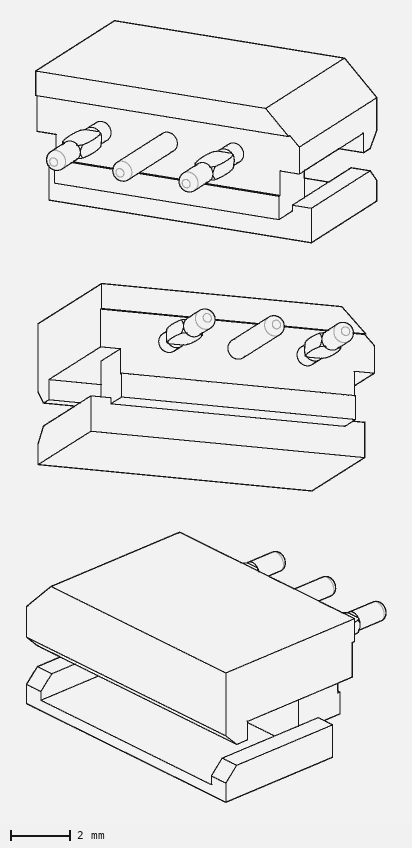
import cadquery as cq
import math

width = 9.9
height = 4.9
pin_face_y = -5.8
lip_projection = 0.1
lip_face_y = pin_face_y - lip_projection

roof_z = 2.72
hook_depth = 0.7
hook_length = 1.0
hook_z = roof_z - hook_depth
lead_in = 0.5
upper_lip_z = 4.03
key_chamfer = 1.22

jaw_thickness = 1.23
jaw_back_y = -4.9
floor_thickness = 0.4

web_inset = 0.72
web_width = width - 2 * web_inset
web_front_y = -4.0
lower_lip_bottom_z = 1.02
lower_lip_top_z = 1.85

pin_pitch = 2.5
pin_z = 3.1
pin_length = 3.6
pin_radius = 0.35
tip_round = 0.2

press_start = 0.7
press_length = 1.6
press_thickness = 0.47
press_half_width = 0.45
flare_radius = 0.45
flare_length = 0.13


def side_profile(points, profile_width):
    """Extrude a closed (Y, Z) outline along X, centred on X = 0."""
    return cq.Workplane("YZ").polyline(points).close().extrude(profile_width / 2, both=True)


def make_housing():
    upper_jaw = side_profile(
        [
            (0, height),
            (lip_face_y, height),
            (lip_face_y, upper_lip_z),
            (pin_face_y, upper_lip_z),
            (pin_face_y, roof_z),
            (-hook_length, roof_z),
            (-hook_length, hook_z),
            (-lead_in, hook_z),
            (0, hook_z + lead_in),
        ],
        width,
    )
    upper_jaw = upper_jaw.edges(">X and >Z").chamfer(key_chamfer)

    lower_jaw = side_profile(
        [
            (0, 0),
            (jaw_back_y, 0),
            (jaw_back_y, jaw_thickness),
            (-lead_in, jaw_thickness),
            (0, jaw_thickness - lead_in),
        ],
        width,
    )

    channel = side_profile(
        [
            (0, floor_thickness),
            (web_front_y, floor_thickness),
            (web_front_y, jaw_thickness),
            (0, jaw_thickness),
        ],
        web_width,
    )
    lower_jaw = lower_jaw.cut(channel)

    web = side_profile(
        [
            (web_front_y, roof_z),
            (pin_face_y, roof_z),
            (pin_face_y, lower_lip_top_z),
            (lip_face_y, lower_lip_top_z),
            (lip_face_y, lower_lip_bottom_z),
            (web_front_y, lower_lip_bottom_z),
        ],
        web_width,
    )
    return upper_jaw.union(web).union(lower_jaw)


def make_round_pin():
    """Plain pin on the Z axis, rising from Z = 0 to its rounded tip."""
    return cq.Workplane("XY").circle(pin_radius).extrude(pin_length).faces(">Z").edges().fillet(tip_round)


def make_press_section():
    """Flat section with bowed sides, its ends trimmed by cones that meet the round pin."""
    press_end = press_start + press_length
    press_middle = press_start + press_length / 2
    blade = (
        cq.Workplane("XZ")
        .moveTo(-pin_radius, press_start)
        .lineTo(pin_radius, press_start)
        .threePointArc((press_half_width, press_middle), (pin_radius, press_end))
        .lineTo(-pin_radius, press_end)
        .threePointArc((-press_half_width, press_middle), (-pin_radius, press_start))
        .close()
        .extrude(press_thickness / 2, both=True)
    )
    clear_radius = math.hypot(press_half_width, press_thickness / 2)
    clear_length = flare_length * (clear_radius - pin_radius) / (flare_radius - pin_radius)
    envelope = (
        cq.Workplane("XZ")
        .polyline(
            [
                (0, press_start),
                (pin_radius, press_start),
                (clear_radius, press_start + clear_length),
                (clear_radius, press_end - clear_length),
                (pin_radius, press_end),
                (0, press_end),
            ]
        )
        .close()
        .revolve(360, (0, 0, 0), (0, 1, 0))
    )
    return blade.intersect(envelope)


def make_press_pin():
    """Round pin whose middle stretch is replaced by the flat press-fit section."""
    gap = (
        cq.Workplane("XY")
        .workplane(offset=press_start)
        .circle(2 * pin_radius)
        .extrude(press_length)
    )
    return make_round_pin().cut(gap).union(make_press_section())


def place_pin(pin, x):
    """Turn a pin to point along -Y and stand it on the pin face."""
    return pin.rotate((0, 0, 0), (1, 0, 0), 90).translate((x, pin_face_y, pin_z))


housing = make_housing()
centre_pin = place_pin(make_round_pin(), 0)
press_pins = [place_pin(make_press_pin(), side * pin_pitch) for side in (-1, 1)]

result = cq.Compound.makeCompound(
    [housing.val(), centre_pin.val(), *[pin.val() for pin in press_pins]]
)